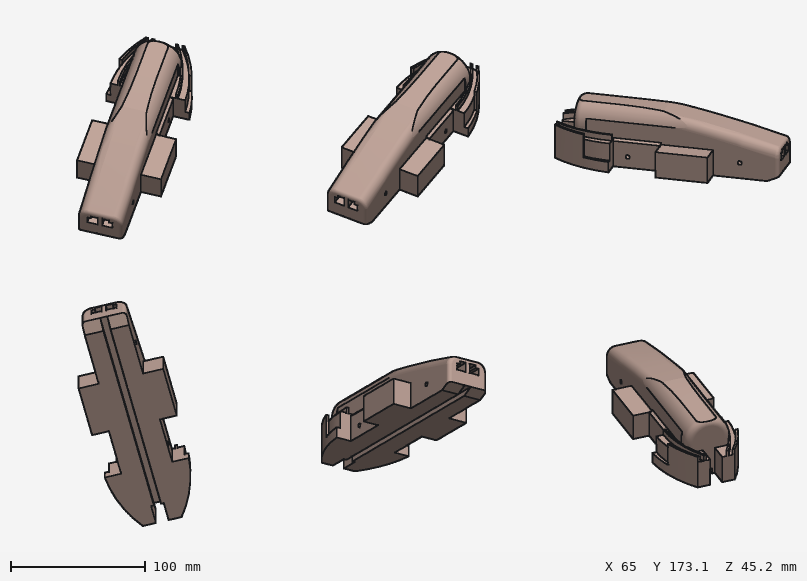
import cadquery as cq
import math

LENGTH = 173.13
WIDTH = 64.96
HEIGHT = 45.23

BODY_HALF_WIDTH = 17.0
SHOULDER_Z = 35.0
ARCH_CENTRE_Z = 29.0
ARCH_RADIUS = math.hypot(BODY_HALF_WIDTH, SHOULDER_Z - ARCH_CENTRE_Z)

COLLAR_FRONT_Y = 148.4
BODY_REAR_Y = 158.7
REAR_EDGE_RADIUS = 5.2

NOSE_TOP_Z = 25.7
RAMP_MID = (45.0, 36.2)
RAMP_END = (91.0, 44.3)
RAMP_END_SLOPE = 0.165
CROWN_FLAT_Y = 122.5
RAMP_EDGE_RADIUS = 7.5
NOSE_EDGE_RADIUS = 3.0
NOSE_BEVEL_LENGTH = 9.05
NOSE_BEVEL_HEIGHT = 4.16

BLOCK_FRONT_Y = 50.6
BLOCK_REAR_Y = 90.7
BLOCK_TOP_Z = 20.4
SKIRT_HALF_WIDTH = 19.6

CLAW_FRONT_Y = 127.0
CLAW_GAP_HALF = 4.83
CLAW_BASE_Z = 21.9
CLAW_RIB_Z = 26.5
STEP_REAR_Y = 147.4
STEP_FLOOR_Z = 8.3
CURVE_MID_Y = 149.7
OUTER_CURVE = (32.2, 27.4, 14.9)
OUTER_RIB_INNER_CURVE = (28.9, 25.2, 13.0)
INNER_RIB_OUTER_CURVE = (23.3, 20.4, 9.9)
INNER_RIB_INNER_CURVE = (21.7, 18.8, 8.0)

SLOT_HALF_WIDTH = 2.7
SLOT_HEIGHT = NOSE_BEVEL_HEIGHT
PIN_DIAMETER = 3.0
PIN_CENTRES = [(30.0, 12.3), (115.7, 8.7)]
PORT_INNER_X = 1.7
PORT_OUTER_X = 9.7
PORT_NOTCH_X = 7.0
PORT_BOTTOM_Z = 15.1
PORT_NOTCH_Z = 20.4
PORT_TOP_Z = 22.6
PORT_DEPTH = 15.0


def box(x0, x1, y0, y1, z0, z1):
    """Axis-aligned box between two corners."""
    return cq.Workplane("XY").box(x1 - x0, y1 - y0, z1 - z0, centered=False).translate((x0, y0, z0))


def mirrored(shape):
    """A shape together with its mirror image across X = 0."""
    return shape.union(shape.mirror("YZ"))


def make_body_section():
    """Straight-sided body section under the arch, extruded along Y."""
    return (
        cq.Workplane("XZ")
        .moveTo(-BODY_HALF_WIDTH, 0)
        .lineTo(BODY_HALF_WIDTH, 0)
        .lineTo(BODY_HALF_WIDTH, SHOULDER_Z)
        .threePointArc((0, ARCH_CENTRE_Z + ARCH_RADIUS), (-BODY_HALF_WIDTH, SHOULDER_Z))
        .close()
        .extrude(-COLLAR_FRONT_Y)
    )


def make_collar():
    """Domed rear end of the body, as wide as the full arch, with a rounded rear edge."""
    collar = (
        cq.Workplane("XZ", origin=(0, COLLAR_FRONT_Y, 0))
        .moveTo(-ARCH_RADIUS, 0)
        .lineTo(ARCH_RADIUS, 0)
        .lineTo(ARCH_RADIUS, ARCH_CENTRE_Z)
        .threePointArc((0, ARCH_CENTRE_Z + ARCH_RADIUS), (-ARCH_RADIUS, ARCH_CENTRE_Z))
        .close()
        .extrude(COLLAR_FRONT_Y - BODY_REAR_Y)
    )
    return collar.faces(">Y").edges("not <Z").fillet(REAR_EDGE_RADIUS)


def make_ramp():
    """Everything under the sloping front deck, with rounded long edges and nose edges."""
    ramp = (
        cq.Workplane("YZ")
        .lineTo(0, NOSE_TOP_Z)
        .threePointArc(RAMP_MID, RAMP_END)
        .lineTo(LENGTH, RAMP_END[1] + RAMP_END_SLOPE * (LENGTH - RAMP_END[0]))
        .lineTo(LENGTH, 0)
        .close()
        .extrude(BODY_HALF_WIDTH, both=True)
    )
    above_nose = cq.selectors.BoxSelector(
        (-WIDTH, NOSE_EDGE_RADIUS, SHOULDER_Z - RAMP_EDGE_RADIUS),
        (WIDTH, LENGTH - NOSE_EDGE_RADIUS, LENGTH),
    )
    ramp = ramp.edges(above_nose).edges("not |X").fillet(RAMP_EDGE_RADIUS)
    return ramp.faces("<Y").edges("not <Z").fillet(NOSE_EDGE_RADIUS)


def make_crown():
    """Everything under the gently arched crown behind the ramp."""
    return (
        cq.Workplane("YZ")
        .lineTo(LENGTH, 0)
        .lineTo(LENGTH, HEIGHT)
        .lineTo(CROWN_FLAT_Y, HEIGHT)
        .tangentArcPoint(RAMP_END, relative=False)
        .lineTo(0, RAMP_END[1])
        .close()
        .extrude(WIDTH / 2, both=True)
    )


def make_block():
    """Rectangular block on the +X side."""
    return box(0, WIDTH / 2, BLOCK_FRONT_Y, BLOCK_REAR_Y, 0, BLOCK_TOP_Z)


def make_skirt():
    """Flared skirt on the +X side, sloping up to meet the body."""
    return (
        cq.Workplane("XZ", origin=(0, BLOCK_REAR_Y, 0))
        .lineTo(SKIRT_HALF_WIDTH, 0)
        .lineTo(SKIRT_HALF_WIDTH, BLOCK_TOP_Z)
        .lineTo(BODY_HALF_WIDTH, CLAW_BASE_Z)
        .lineTo(0, CLAW_BASE_Z)
        .close()
        .extrude(BLOCK_REAR_Y - CLAW_FRONT_Y)
    )


def inside_curve(curve, bottom_z, top_z):
    """Solid between the claw gap and a claw curve, over a range of heights."""
    front_x, mid_x, tip_x = curve
    return (
        cq.Workplane("XY", origin=(0, 0, bottom_z))
        .moveTo(CLAW_GAP_HALF, CLAW_FRONT_Y)
        .lineTo(front_x, CLAW_FRONT_Y)
        .threePointArc((mid_x, CURVE_MID_Y), (tip_x, LENGTH))
        .lineTo(CLAW_GAP_HALF, LENGTH)
        .close()
        .extrude(top_z - bottom_z)
    )


def make_claw():
    """Claw on the +X side: a curved base, two curved ribs on top and a step in the outer face."""
    base = inside_curve(OUTER_CURVE, 0, CLAW_BASE_Z)
    outer_rib = inside_curve(OUTER_CURVE, CLAW_BASE_Z, CLAW_RIB_Z).cut(
        inside_curve(OUTER_RIB_INNER_CURVE, CLAW_BASE_Z, CLAW_RIB_Z)
    )
    inner_rib = inside_curve(INNER_RIB_OUTER_CURVE, CLAW_BASE_Z, CLAW_RIB_Z).cut(
        inside_curve(INNER_RIB_INNER_CURVE, CLAW_BASE_Z, CLAW_RIB_Z)
    )
    step = box(0, WIDTH / 2, CLAW_FRONT_Y, STEP_REAR_Y, STEP_FLOOR_Z, CLAW_RIB_Z).cut(
        inside_curve(OUTER_RIB_INNER_CURVE, STEP_FLOOR_Z, CLAW_RIB_Z)
    )
    step = step.intersect(inside_curve(OUTER_CURVE, STEP_FLOOR_Z, CLAW_RIB_Z))
    return base.union(outer_rib).cut(step).union(inner_rib)


def make_port():
    """L-shaped port on the +X side of the nose."""
    return (
        cq.Workplane("XZ")
        .moveTo(PORT_INNER_X, PORT_BOTTOM_Z)
        .lineTo(PORT_OUTER_X, PORT_BOTTOM_Z)
        .lineTo(PORT_OUTER_X, PORT_NOTCH_Z)
        .lineTo(PORT_NOTCH_X, PORT_NOTCH_Z)
        .lineTo(PORT_NOTCH_X, PORT_TOP_Z)
        .lineTo(PORT_INNER_X, PORT_TOP_Z)
        .close()
        .extrude(-PORT_DEPTH)
    )


def make_nose_bevel():
    """Wedge removed from under the nose."""
    return (
        cq.Workplane("YZ")
        .lineTo(NOSE_BEVEL_LENGTH, 0)
        .lineTo(0, NOSE_BEVEL_HEIGHT)
        .close()
        .extrude(BODY_HALF_WIDTH, both=True)
    )


def make_pin_holes():
    """Cross holes running right through the part along X."""
    return (
        cq.Workplane("YZ")
        .pushPoints(PIN_CENTRES)
        .circle(PIN_DIAMETER / 2)
        .extrude(WIDTH / 2, both=True)
    )


body = make_body_section().intersect(make_ramp()).union(make_collar()).intersect(make_crown())
side_features = make_block().union(make_skirt()).union(make_claw())
slot = box(-SLOT_HALF_WIDTH, SLOT_HALF_WIDTH, 0, LENGTH, 0, SLOT_HEIGHT)

result = (
    body.union(mirrored(side_features))
    .cut(slot)
    .cut(make_nose_bevel())
    .cut(mirrored(make_port()))
    .cut(make_pin_holes())
)